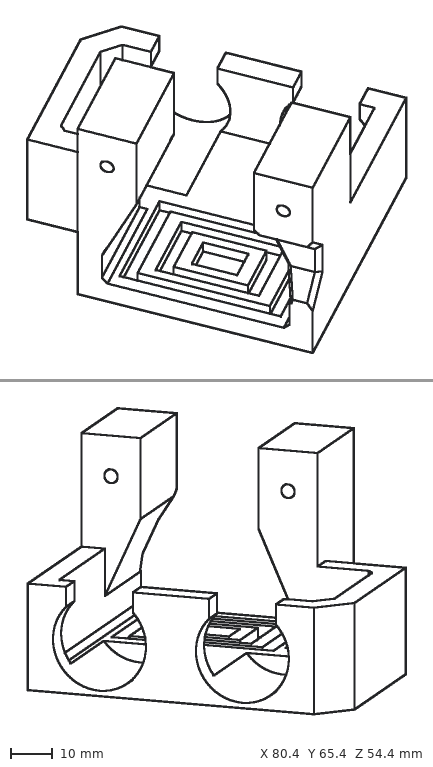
import cadquery as cq
import math

LENGTH = 80.4
DEPTH = 65.4
HEIGHT = 54.4

WALL = 5.95
FLOOR = 5.95
TRAY_HEIGHT = 26.4
CORNER_CUT = 7.6
EDGE_CHAMFER = 1.45

POST_LEFT = 20.35
POST_WIDTH = 15.0
POST_DEPTH = 26.4
TAPER_TOP = 34.4
TAPER_BOTTOM = 14.6
CHANNEL_LEFT = 26.5
CHANNEL_RIGHT = LENGTH - WALL
TRAY_FRONT = POST_DEPTH - WALL
TRAY_BACK = DEPTH - WALL

HOLE_DIAMETER = 3.4
HOLE_HEIGHT = 44.4

CRADLE_CENTERS = (25.8, 62.15)
CRADLE_RADIUS = 11.8
CRADLE_AXIS_HEIGHT = 13.2
CRADLE_START = 35.5
CRADLE_SLOT_WIDTH = 17.0

PATTERN_CENTER = ((POST_LEFT + LENGTH) / 2, 17.45)
PATTERN_LENGTH = 41.2
PATTERN_WIDTH = 27.9
LENGTH_STEP = 7.4
WIDTH_STEP = 5.0
PATTERN_RINGS = 5
GROOVE_DEPTH = 3.0

NOTCH_TOP = 34.4
NOTCH_BOTTOM = 15.9
NOTCH_DEPTH = 5.5


def make_block():
    """Tray body plus the full-height block that becomes the two posts."""
    tray = (
        cq.Workplane("XY")
        .moveTo(0, TRAY_FRONT)
        .lineTo(LENGTH, TRAY_FRONT)
        .lineTo(LENGTH, DEPTH)
        .lineTo(CORNER_CUT, DEPTH)
        .lineTo(0, DEPTH - CORNER_CUT)
        .close()
        .extrude(TRAY_HEIGHT)
    )
    posts = cq.Workplane("XY").box(LENGTH - POST_LEFT, POST_DEPTH, HEIGHT, centered=False)
    return tray.union(posts.translate((POST_LEFT, 0, 0)))


def make_tray_room():
    """Space inside the tray walls, chamfered at the floor and at the front left corner, square at the back."""
    inner_cut = CORNER_CUT + WALL * math.sqrt(2) - 2 * WALL
    room = (
        cq.Workplane("XY", origin=(0, 0, FLOOR))
        .moveTo(WALL, POST_DEPTH)
        .lineTo(CHANNEL_RIGHT, POST_DEPTH)
        .lineTo(CHANNEL_RIGHT, TRAY_BACK)
        .lineTo(WALL + inner_cut, TRAY_BACK)
        .lineTo(WALL, TRAY_BACK - inner_cut)
        .close()
        .extrude(HEIGHT - FLOOR)
    )
    front_left_corner = room.edges("|Z").edges("<Y").edges("<X")
    return room.faces("<Z").edges("not >Y").add(front_left_corner).chamfer(EDGE_CHAMFER)


def make_channel():
    """Open channel below the tapered parts of the posts, chamfered along the floor."""
    return (
        cq.Workplane("XY")
        .box(CHANNEL_RIGHT - CHANNEL_LEFT, TRAY_BACK, TAPER_BOTTOM - FLOOR, centered=False)
        .translate((CHANNEL_LEFT, 0, FLOOR))
        .faces("<Z")
        .edges("|Y")
        .chamfer(EDGE_CHAMFER)
    )


def make_gap():
    """Space between the posts, widening downward to the channel."""
    left = POST_LEFT + POST_WIDTH
    right = LENGTH - POST_WIDTH
    return (
        cq.Workplane("XZ")
        .polyline([
            (CHANNEL_LEFT, TAPER_BOTTOM),
            (CHANNEL_RIGHT, TAPER_BOTTOM),
            (right, TAPER_TOP),
            (right, HEIGHT),
            (left, HEIGHT),
            (left, TAPER_TOP),
        ])
        .close()
        .extrude(-POST_DEPTH)
    )


def make_screw_holes():
    """One hole through the middle of each post's width."""
    left_center = POST_LEFT + POST_WIDTH / 2
    right_center = LENGTH - POST_WIDTH / 2
    centers = [(left_center, HOLE_HEIGHT), (right_center, HOLE_HEIGHT)]
    return cq.Workplane("XZ").pushPoints(centers).circle(HOLE_DIAMETER / 2).extrude(-POST_DEPTH)


def make_cradle(center):
    """Cylinder along Y with a straight slot above it."""
    plane = cq.Workplane("XZ", origin=(center, CRADLE_START, CRADLE_AXIS_HEIGHT))
    run = DEPTH - CRADLE_START
    slot_height = TRAY_HEIGHT - CRADLE_AXIS_HEIGHT
    bore = plane.circle(CRADLE_RADIUS).extrude(-run)
    slot = plane.center(0, slot_height / 2).rect(CRADLE_SLOT_WIDTH, slot_height).extrude(-run)
    return bore.union(slot)


def make_pattern_plate(ring):
    """Groove-deep rectangle filling the floor pattern inside the given ring; ring 0 is the outermost."""
    return (
        cq.Workplane("XY", origin=(*PATTERN_CENTER, FLOOR - GROOVE_DEPTH))
        .rect(PATTERN_LENGTH - ring * LENGTH_STEP, PATTERN_WIDTH - ring * WIDTH_STEP)
        .extrude(GROOVE_DEPTH)
    )


def make_floor_pattern():
    """Two rectangular grooves around a rectangular pocket, separated by lands."""
    pattern = make_pattern_plate(PATTERN_RINGS - 1)
    for ring in range(0, PATTERN_RINGS - 1, 2):
        groove = make_pattern_plate(ring).cut(make_pattern_plate(ring + 1))
        pattern = pattern.union(groove)
    return pattern


def taper_x(z):
    """X of the sloping inner face of the right post at height z."""
    slope = (CHANNEL_RIGHT - (LENGTH - POST_WIDTH)) / (TAPER_TOP - TAPER_BOTTOM)
    return CHANNEL_RIGHT - (z - TAPER_BOTTOM) * slope


def outer_x(z):
    """X of the upright outer face of the right post, the same at every height z."""
    return LENGTH


def notch_section(face_x, inset, growth):
    """Notch outline lying in a post face, moved along X by inset and widened on its three sides by growth."""
    depth = NOTCH_DEPTH + growth
    bottom = NOTCH_BOTTOM - growth * math.sqrt(2)
    top = NOTCH_TOP + growth * math.sqrt(2)
    outline = [(0, bottom), (depth, bottom + depth), (depth, top - depth), (0, top)]
    return cq.Wire.makePolygon([cq.Vector(face_x(z) + inset, y, z) for y, z in outline], close=True)


def make_notch():
    """Notch through the right post, chamfered at the outer side and at the tapered inner side."""
    sections = [
        notch_section(taper_x, 0, EDGE_CHAMFER),
        notch_section(taper_x, EDGE_CHAMFER, 0),
        notch_section(outer_x, -EDGE_CHAMFER, 0),
        notch_section(outer_x, 0, EDGE_CHAMFER),
    ]
    notch = cq.Workplane(cq.Solid.makeLoft(sections, ruled=True))

    below_taper = (
        cq.Workplane("XY")
        .box(2 * EDGE_CHAMFER, POST_DEPTH, TAPER_BOTTOM, centered=False)
        .translate((CHANNEL_RIGHT, 0, 0))
    )
    return notch.cut(below_taper)


result = make_block().cut(make_tray_room()).cut(make_channel()).cut(make_gap()).cut(make_screw_holes())
for cradle_center in CRADLE_CENTERS:
    result = result.cut(make_cradle(cradle_center))
result = result.cut(make_floor_pattern()).cut(make_notch())